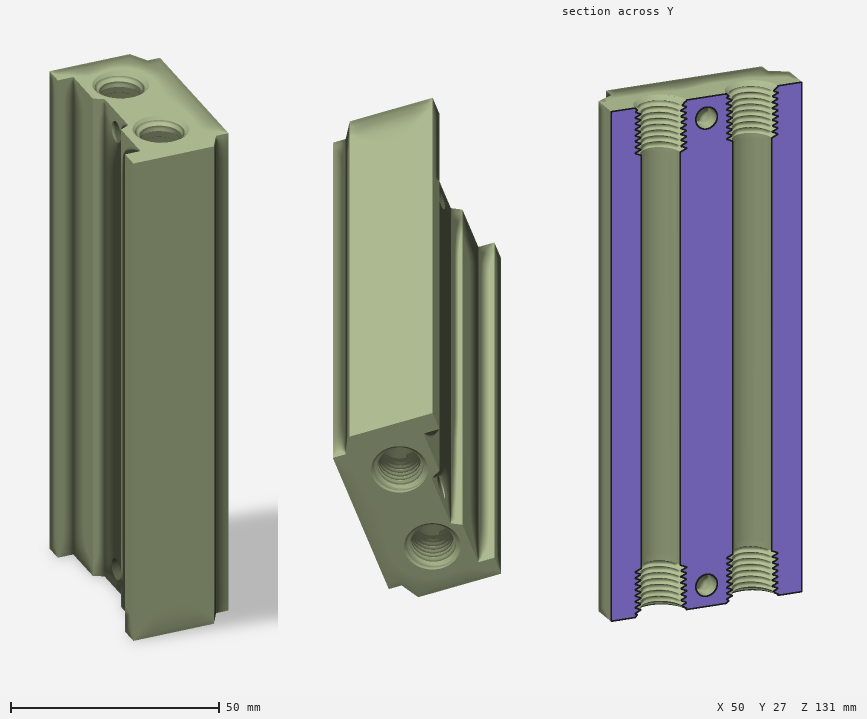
import cadquery as cq
import math

length = 131.0
width = 50.0
depth = 27.0
back_y = depth / 2
front_y = -depth / 2

pad_width = 40.9
pad_height = 3.3
shoulder_drop = 2.6

foot_width = 5.0
channel_depth = 4.0
groove_depth = 2.5
groove_mouth_width = 16.8
groove_floor_width = 14.1

port_spacing = 24.0
port_from_back = 14.0
bore_radius = 5.1
mouth_radius = 6.8
thread_length = 13.6
thread_turns = 9
thread_pitch = thread_length / thread_turns
thread_start_height = 1.2
crest_width = 0.07
flank_angle = math.radians(24)
cutter_overlap = 0.03

screw_hole_diameter = 5.5
screw_hole_from_end = 5.5


def make_bar():
    """Extrude the cross-section, drawn as its right half and mirrored."""
    channel_y = front_y + channel_depth
    groove_y = channel_y + groove_depth
    shoulder_y = back_y - pad_height
    right_half = [
        (0, back_y),
        (pad_width / 2, back_y),
        (pad_width / 2, shoulder_y),
        (width / 2, shoulder_y - shoulder_drop),
        (width / 2, front_y),
        (width / 2 - foot_width, front_y),
        (width / 2 - foot_width, channel_y),
        (groove_mouth_width / 2, channel_y),
        (groove_floor_width / 2, groove_y),
        (0, groove_y),
    ]
    left_half = [(-x, y) for x, y in reversed(right_half[1:-1])]
    section = cq.Workplane("XY").workplane(offset=-length / 2).polyline(right_half + left_half).close()
    return section.extrude(length)


def make_thread_cutter():
    """Right-handed V ridge outside the bore, winding around Z down from just above the top face."""
    root_radius = bore_radius + (thread_pitch - crest_width) / 2 / math.tan(flank_angle)
    inner_radius = bore_radius - cutter_overlap
    cutter_half_width = (root_radius - inner_radius) * math.tan(flank_angle)
    ridge_profile = [
        (inner_radius, -cutter_half_width),
        (root_radius, 0),
        (inner_radius, cutter_half_width),
    ]
    top_z = length / 2 + thread_start_height
    bottom_z = top_z - thread_length
    helix = cq.Wire.makeHelix(thread_pitch, thread_length, bore_radius, center=cq.Vector(0, 0, bottom_z))
    section = cq.Workplane("XZ", origin=(0, 0, bottom_z)).polyline(ridge_profile).close()
    ridge = section.sweep(cq.Workplane(helix), isFrenet=True)
    core = cq.Workplane("XY", origin=(0, 0, -length)).circle(bore_radius).extrude(2 * length)
    return ridge.cut(core, clean=False)


def make_port_bore():
    """Through bore with a conical mouth at each end, around the Z axis."""
    flare_z = length / 2 - (mouth_radius - bore_radius)
    profile = [
        (0, length / 2),
        (mouth_radius, length / 2),
        (bore_radius, flare_z),
        (bore_radius, -flare_z),
        (mouth_radius, -length / 2),
        (0, -length / 2),
    ]
    return cq.Workplane("YZ").polyline(profile).close().revolve(360, (0, 0, 0), (0, 1, 0))


def make_screw_holes():
    hole_z = length / 2 - screw_hole_from_end
    holes = cq.Workplane("XZ").pushPoints([(0, hole_z), (0, -hole_z)]).circle(screw_hole_diameter / 2)
    return holes.extrude(depth, both=True)


body = make_bar().cut(make_screw_holes())
top_thread = make_thread_cutter()
bottom_thread = top_thread.rotate((0, 0, 0), (1, 0, 0), 180)
port_bore = make_port_bore()
for side in (-1, 1):
    port_centre = (side * port_spacing / 2, back_y - port_from_back, 0)
    for cutter in (top_thread, bottom_thread, port_bore):
        body = body.cut(cutter.translate(port_centre), clean=False)
result = body.solids()